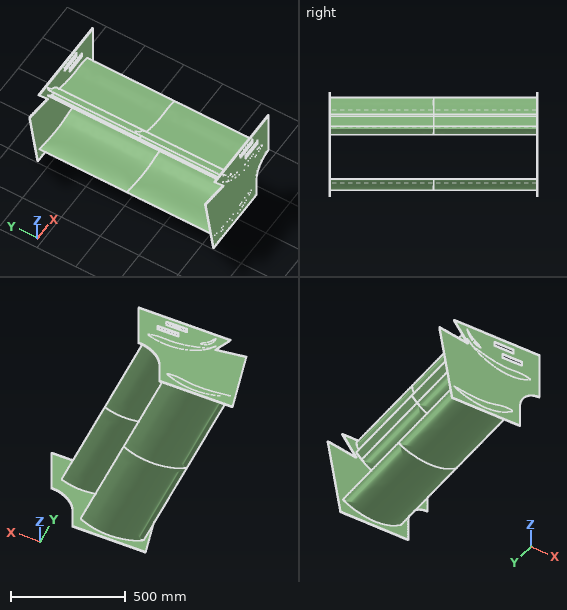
import cadquery as cq
import math


overall_length = 516.36
overall_span = 910.0
overall_height = 450.0

plate_thickness = 5.0
trailing_tilt = math.radians(10.0)
trailing_corner_height = 374.0
notch_edge_length = 150.0
top_corner_x = 75.5
corner_radius = 100.0
cut_top_height = 210.0

slot_length = 100.0
slot_height = 20.0
first_slot_center = (334.0, 410.0)
slot_step = (42.0, -50.0)
slot_count = 2

half_span = (overall_span - 2 * plate_thickness) / 2
wing_chord = 302.0
main_trailing_edge = (173.0, 347.0)
main_pitch = 10.4
lower_trailing_edge = (76.5, 73.0)
lower_pitch = 0.5
flap_trailing_edge = (145.0, 430.0)
flap_chord = 102.5
flap_pitch = 46.0

strip_width = 40.0
strip_thickness = 2.0
strip_angle = math.radians(45.0)

trailing_point = (0.0, 0.0)
upper_surface = [(0.15, -0.024), (0.35, -0.046), (0.65, -0.030), (0.94, 0.014)]
leading_point = (1.0, 0.0)
lower_surface = [(0.94, -0.050), (0.80, -0.116), (0.56, -0.157), (0.40, -0.146), (0.18, -0.090)]


def end_plate(outer_y):
    """Flat plate with a notched trailing side, a rounded lower corner cut and two slots."""
    bottom_trailing_x = trailing_corner_height * math.tan(trailing_tilt)
    notch_x = notch_edge_length * math.cos(trailing_tilt)
    notch_height = trailing_corner_height - notch_edge_length * math.sin(trailing_tilt)
    cut_x = overall_length - corner_radius
    cut_center_height = cut_top_height - corner_radius
    arc_offset = corner_radius * math.sqrt(0.5)

    plate = (
        cq.Workplane("XZ", origin=(0, outer_y, 0))
        .moveTo(bottom_trailing_x, 0)
        .lineTo(cut_x, 0)
        .lineTo(cut_x, cut_center_height)
        .threePointArc(
            (overall_length - arc_offset, cut_center_height + arc_offset),
            (overall_length, cut_top_height),
        )
        .lineTo(overall_length, overall_height)
        .lineTo(top_corner_x, overall_height)
        .lineTo(notch_x, notch_height)
        .lineTo(0, trailing_corner_height)
        .close()
        .extrude(plate_thickness)
    )
    slot_centers = [
        (first_slot_center[0] + i * slot_step[0], first_slot_center[1] + i * slot_step[1])
        for i in range(slot_count)
    ]
    slots = (
        cq.Workplane("XZ", origin=(0, outer_y, 0))
        .pushPoints(slot_centers)
        .rect(slot_length, slot_height)
        .extrude(plate_thickness)
    )
    return plate.cut(slots)


def wing_half(start_y, trailing_edge, chord, pitch):
    """Airfoil of the given chord, pitched nose down, running half the span toward -Y."""
    unit_profile = upper_surface + [leading_point] + lower_surface + [trailing_point]
    profile = [(chord * x, chord * z) for x, z in unit_profile]
    return (
        cq.Workplane("XZ", origin=(0, start_y, 0))
        .moveTo(*trailing_point)
        .spline(profile, includeCurrent=True)
        .close()
        .extrude(half_span)
        .rotate((0, 0, 0), (0, 1, 0), pitch)
        .translate((trailing_edge[0], 0, trailing_edge[1]))
    )


def strip_half(start_y):
    """Flat strip rising from the trailing edge of the main plane, half the span long."""
    run = (-strip_width * math.cos(strip_angle), strip_width * math.sin(strip_angle))
    rise = (strip_thickness * math.sin(strip_angle), strip_thickness * math.cos(strip_angle))
    x, z = main_trailing_edge
    return (
        cq.Workplane("XZ", origin=(0, start_y, 0))
        .moveTo(x, z)
        .lineTo(x + run[0], z + run[1])
        .lineTo(x + run[0] + rise[0], z + run[1] + rise[1])
        .lineTo(x + rise[0], z + rise[1])
        .close()
        .extrude(half_span)
    )


def lower_wing_half(start_y):
    """Half of the lower wing, almost level."""
    return wing_half(start_y, lower_trailing_edge, wing_chord, lower_pitch)


def main_plane_half(start_y):
    """Half of the upper main plane, the same section as the lower wing at a steeper pitch."""
    return wing_half(start_y, main_trailing_edge, wing_chord, main_pitch)


def flap_half(start_y):
    """Half of the short, steep flap above the trailing side of the main plane."""
    return wing_half(start_y, flap_trailing_edge, flap_chord, flap_pitch)


bodies = []
for outer_y in (overall_span / 2, -half_span):
    bodies.append(end_plate(outer_y).solids().val())

for start_y in (0.0, half_span):
    for make_half in (lower_wing_half, main_plane_half, strip_half, flap_half):
        bodies.append(make_half(start_y).val())

result = cq.Compound.makeCompound(bodies)